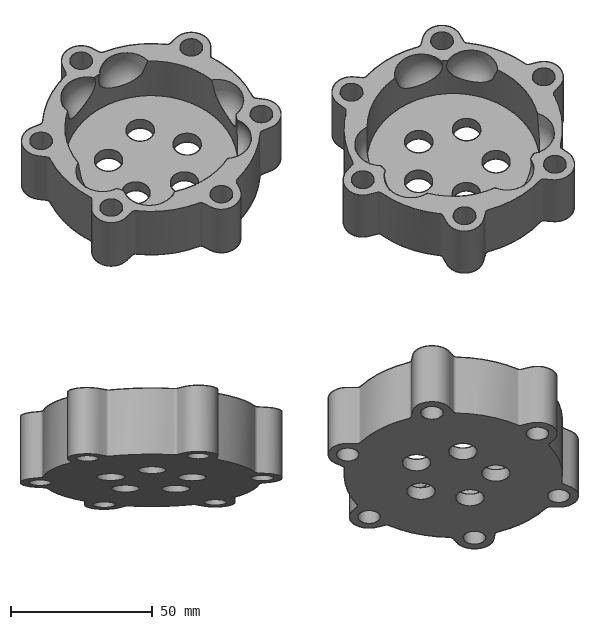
import cadquery as cq
import math

height = 24.0
body_radius = 38.45
bore_radius = 30.4
floor_thickness = 5.0

lug_count = 6
lug_circle_radius = 39.3
lug_radius = 6.9
lug_hole_radius = 4.0
lug_flare_angle = 18.0
lug_root_fillet = 1.5

floor_hole_count = 5
floor_hole_circle_radius = 15.1
floor_hole_radius = 5.0

pocket_pair_count = 3
pocket_circle_radius = 26.7
pocket_half_spread = 19.6
pocket_radius = 9.0
pocket_centre_depth = 3.2
pocket_lean = 14.0
pocket_outward_tip = 5.0

FIRST_ANGLE = -90.0


def polar(radius, angle):
    """Point at a radius and an angle in degrees."""
    return radius * math.cos(math.radians(angle)), radius * math.sin(math.radians(angle))


def ring(count, radius):
    """Evenly spaced points on a circle, the first facing -Y."""
    return [polar(radius, FIRST_ANGLE + i * 360.0 / count) for i in range(count)]


def make_lug(angle):
    """Lug with a round tip and flanks that spread tangentially toward the body."""
    flare = math.radians(lug_flare_angle)
    tangent_x = lug_circle_radius + lug_radius * math.sin(flare)
    tangent_y = lug_radius * math.cos(flare)
    root_x = lug_circle_radius - lug_radius
    root_y = tangent_y + (tangent_x - root_x) * math.tan(flare)
    return (
        cq.Workplane("XY")
        .moveTo(root_x, -root_y)
        .lineTo(tangent_x, -tangent_y)
        .threePointArc((lug_circle_radius + lug_radius, 0), (tangent_x, tangent_y))
        .lineTo(root_x, root_y)
        .close()
        .extrude(height)
        .rotate((0, 0, 0), (0, 0, 1), angle)
    )


def make_body():
    """Disc with lugs, rounded where the lug flanks meet the disc."""
    body = cq.Workplane("XY").circle(body_radius).extrude(height)
    for i in range(lug_count):
        body = body.union(make_lug(FIRST_ANGLE + i * 360.0 / lug_count))
    root_edges = body.edges("|Z").filter(
        lambda edge: math.hypot(edge.Center().x, edge.Center().y) < lug_circle_radius
    )
    return root_edges.fillet(lug_root_fillet)


def make_pocket(pair_angle, side):
    """Round-ended bore from the rim, leaning down toward the middle of its pair."""
    x, y = polar(pocket_circle_radius, FIRST_ANGLE + side * pocket_half_spread)
    ball = cq.Workplane("XY").sphere(pocket_radius)
    shaft = cq.Workplane("XY").circle(pocket_radius).extrude(height)
    return (
        ball.union(shaft)
        .translate((0, 0, -pocket_centre_depth))
        .rotate((0, 0, 0), (0, 1, 0), side * pocket_lean)
        .rotate((0, 0, 0), (1, 0, 0), -pocket_outward_tip)
        .translate((x, y, height))
        .rotate((0, 0, 0), (0, 0, 1), pair_angle)
    )


result = make_body()

bore = cq.Workplane("XY").workplane(offset=floor_thickness).circle(bore_radius).extrude(height)
result = result.cut(bore)

for pair in range(pocket_pair_count):
    pair_angle = pair * 360.0 / pocket_pair_count
    for side in (-1, 1):
        result = result.cut(make_pocket(pair_angle, side))

lug_holes = (
    cq.Workplane("XY").pushPoints(ring(lug_count, lug_circle_radius)).circle(lug_hole_radius).extrude(height)
)
floor_holes = (
    cq.Workplane("XY")
    .pushPoints(ring(floor_hole_count, floor_hole_circle_radius))
    .circle(floor_hole_radius)
    .extrude(height)
)
result = result.cut(lug_holes).cut(floor_holes)